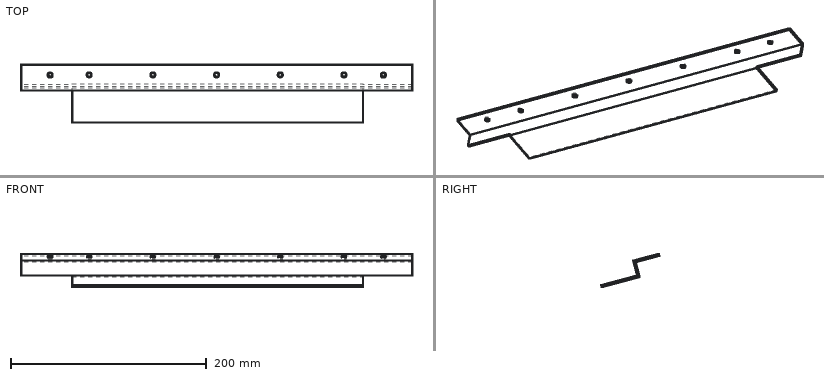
import cadquery as cq

length = 399.2
thickness = 2.0
tilt = 15.0
upper_flange = 27.0
lower_flange = 40.0
section_height = 17.7
lower_flange_length = 297.0
lower_flange_shift = 1.0

hole_setback = 10.7
inner_hole_diameter = 4.7
inner_hole_pitch = 65.0
inner_hole_count = 5
inner_hole_shift = -0.2
end_hole_diameter = 4.23
end_countersink_diameter = 5.12
end_hole_offset = 170.0

web_front = -upper_flange
web_rear = web_front + thickness
lower_front = web_rear - lower_flange
lower_bottom = -section_height
lower_top = lower_bottom + thickness


def plate(size_x, rear, front, bottom, top):
    """Flat plate centred along X, spanning the given Y and Z limits."""
    centre = (0, (rear + front) / 2, (top + bottom) / 2)
    return cq.Workplane("XY").box(size_x, rear - front, top - bottom).translate(centre)


def z_section():
    """Full-length upper flange and web, joined to the shorter lower flange.

    The web ends level with the top of the lower flange.
    """
    upper = plate(length, 0, web_front, -thickness, 0)
    web = plate(length, web_rear, web_front, lower_top, 0)
    lower = plate(lower_flange_length, web_rear, lower_front, lower_bottom, lower_top)
    lower = lower.translate((lower_flange_shift, 0, 0))
    return upper.union(web).union(lower)


def drill_inner_holes(body):
    """Evenly spaced plain holes along the upper flange."""
    middle_index = (inner_hole_count - 1) / 2
    for index in range(inner_hole_count):
        x = inner_hole_shift + (index - middle_index) * inner_hole_pitch
        hole = cq.Workplane("XY").center(x, -hole_setback).circle(inner_hole_diameter / 2)
        body = body.cut(hole.extrude(-thickness))
    return body


def drill_end_holes(body):
    """One hole near each end, with a 45 degree countersink at the top face."""
    hole_radius = end_hole_diameter / 2
    countersink_radius = end_countersink_diameter / 2
    countersink_depth = countersink_radius - hole_radius
    for x in (-end_hole_offset, end_hole_offset):
        hole = cq.Workplane("XY").center(x, -hole_setback).circle(hole_radius).extrude(-thickness)
        countersink = cq.Solid.makeCone(
            countersink_radius,
            hole_radius,
            countersink_depth,
            pnt=cq.Vector(x, -hole_setback, 0),
            dir=cq.Vector(0, 0, -1),
        )
        body = body.cut(hole).cut(cq.Workplane(countersink))
    return body


bracket = drill_end_holes(drill_inner_holes(z_section()))

result = bracket.rotate((0, 0, 0), (1, 0, 0), tilt)